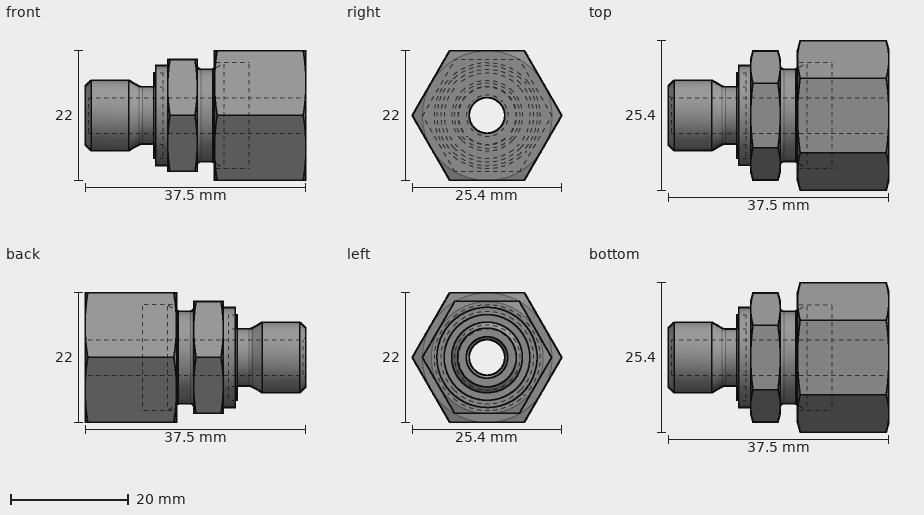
import cadquery as cq
import math

TOTAL_LENGTH = 37.5
X_START = -TOTAL_LENGTH / 2
X_END = TOTAL_LENGTH / 2
FLATS_CHAMFER_ANGLE = math.radians(15)

SPIGOT_RADIUS = 6.0
SPIGOT_CHAMFER = 1.0
SPIGOT_LENGTH = 7.42
NECK_RADIUS = 4.88
RUNOUT_ANGLE = math.radians(30)
RUNOUT_FILLET = 1.2

COLLAR_RADIUS = 8.5
COLLAR_X = X_START + 12.0
HEX_X = X_START + 14.02
HEX_LENGTH = 5.02
HEX_FLATS = 19.0
HEX_END_X = HEX_X + HEX_LENGTH

UNDERCUT_RADIUS = 7.88
UNDERCUT_FILLET = 0.55
UNDERCUT_END_X = X_START + 21.65
THREAD_RADIUS = 9.0
THREAD_END_X = X_START + 27.75

BORE_RADIUS = 3.0
BORE_CHAMFER = 0.52

SEAL_RADIUS = 7.28
SEAL_THICKNESS = 1.5
SEAL_PROTRUSION = 0.35
SEAL_CHAMFER_LENGTH = 0.35
SEAL_CHAMFER_WIDTH = 0.68
SEAL_X = COLLAR_X - SEAL_PROTRUSION

NUT_LENGTH = 15.52
NUT_FLATS = 22.0
NUT_X = X_END - NUT_LENGTH


def solid_of_revolution(profile):
    """Turn a closed (x, radius) profile about the X axis."""
    return profile.close().revolve(360, (0, 0, 0), (1, 0, 0))


def cylinder(radius, x_from, x_to):
    """Cylinder along X between two positions."""
    return cq.Workplane("YZ", origin=(x_from, 0, 0)).circle(radius).extrude(x_to - x_from)


def chamfered_hexagon(flats, x_from, length):
    """Hexagonal prism along X with corners at +Y and -Y, turned conical at both ends."""
    corner_radius = flats / math.sqrt(3)
    flat_radius = flats / 2
    setback = (corner_radius - flat_radius) * math.tan(FLATS_CHAMFER_ANGLE)
    x_to = x_from + length
    prism = cq.Workplane("YZ", origin=(x_from, 0, 0)).polygon(6, 2 * corner_radius).extrude(length)
    envelope = solid_of_revolution(
        cq.Workplane("XY")
        .moveTo(x_from, 0)
        .lineTo(x_from, flat_radius)
        .lineTo(x_from + setback, corner_radius)
        .lineTo(x_to - setback, corner_radius)
        .lineTo(x_to, flat_radius)
        .lineTo(x_to, 0)
    )
    return prism.intersect(envelope)


def make_spigot():
    """Threaded end with a lead-in chamfer and a 30 degree runout blended into the neck."""
    runout_x = X_START + SPIGOT_LENGTH
    blend_radius = NECK_RADIUS + RUNOUT_FILLET * (1 - math.cos(RUNOUT_ANGLE))
    blend_x = runout_x + (SPIGOT_RADIUS - blend_radius) / math.tan(RUNOUT_ANGLE)
    neck_x = blend_x + RUNOUT_FILLET * math.sin(RUNOUT_ANGLE)
    mid_angle = RUNOUT_ANGLE / 2
    blend_middle = (
        neck_x - RUNOUT_FILLET * math.sin(mid_angle),
        NECK_RADIUS + RUNOUT_FILLET * (1 - math.cos(mid_angle)),
    )
    return solid_of_revolution(
        cq.Workplane("XY")
        .moveTo(X_START, 0)
        .lineTo(X_START, SPIGOT_RADIUS - SPIGOT_CHAMFER)
        .lineTo(X_START + SPIGOT_CHAMFER, SPIGOT_RADIUS)
        .lineTo(runout_x, SPIGOT_RADIUS)
        .lineTo(blend_x, blend_radius)
        .threePointArc(blend_middle, (neck_x, NECK_RADIUS))
        .lineTo(HEX_X, NECK_RADIUS)
        .lineTo(HEX_X, 0)
    )


def make_threaded_end():
    """Undercut behind the hexagon, followed by the thread that the nut screws onto."""
    fillet_end_x = HEX_END_X + UNDERCUT_FILLET
    thread_x = UNDERCUT_END_X + (THREAD_RADIUS - UNDERCUT_RADIUS) / math.tan(RUNOUT_ANGLE)
    return solid_of_revolution(
        cq.Workplane("XY")
        .moveTo(HEX_END_X, 0)
        .lineTo(HEX_END_X, UNDERCUT_RADIUS + UNDERCUT_FILLET)
        .radiusArc((fillet_end_x, UNDERCUT_RADIUS), -UNDERCUT_FILLET)
        .lineTo(UNDERCUT_END_X, UNDERCUT_RADIUS)
        .lineTo(thread_x, THREAD_RADIUS)
        .lineTo(THREAD_END_X, THREAD_RADIUS)
        .lineTo(THREAD_END_X, 0)
    )


def make_bore():
    """Bore right through the stud, countersunk at the spigot end."""
    return solid_of_revolution(
        cq.Workplane("XY")
        .moveTo(X_START, 0)
        .lineTo(X_START, BORE_RADIUS + BORE_CHAMFER)
        .lineTo(X_START + BORE_CHAMFER, BORE_RADIUS)
        .lineTo(X_END, BORE_RADIUS)
        .lineTo(X_END, 0)
    )


def make_stud():
    """Spigot, grooved collar, hexagon and threaded end in one piece, bored through."""
    collar = cylinder(COLLAR_RADIUS, COLLAR_X, HEX_X)
    seal_groove = cylinder(SEAL_RADIUS, COLLAR_X, SEAL_X + SEAL_THICKNESS)
    hexagon = chamfered_hexagon(HEX_FLATS, HEX_X, HEX_LENGTH)
    body = collar.cut(seal_groove).union(make_spigot()).union(hexagon).union(make_threaded_end())
    return body.cut(make_bore())


def make_seal_ring():
    """Ring that fits the neck, with a conical lead-in at the mouth of its bore."""
    seal_end_x = SEAL_X + SEAL_THICKNESS
    return solid_of_revolution(
        cq.Workplane("XY")
        .moveTo(SEAL_X, SEAL_RADIUS)
        .lineTo(SEAL_X, NECK_RADIUS + SEAL_CHAMFER_WIDTH)
        .lineTo(SEAL_X + SEAL_CHAMFER_LENGTH, NECK_RADIUS)
        .lineTo(seal_end_x, NECK_RADIUS)
        .lineTo(seal_end_x, SEAL_RADIUS)
    )


def make_union_nut():
    """Hexagon nut with a threaded socket for the stud and an outlet that continues its bore."""
    nut = chamfered_hexagon(NUT_FLATS, NUT_X, NUT_LENGTH)
    socket = cylinder(THREAD_RADIUS, NUT_X, THREAD_END_X)
    outlet = cylinder(BORE_RADIUS, THREAD_END_X, X_END)
    return nut.cut(socket).cut(outlet)


stud = make_stud()
seal_ring = make_seal_ring()
union_nut = make_union_nut()

result = cq.Compound.makeCompound([stud.val(), seal_ring.val(), union_nut.val()])